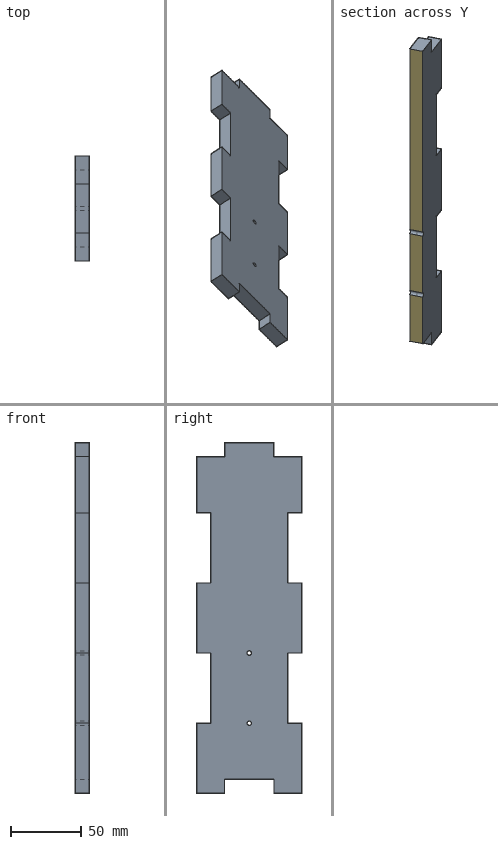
import cadquery as cq

thickness = 10.0
width = 75.0
height = 250.0
joint_depth = thickness
finger_pitch = 50.0
tab_width = 35.0
hole_diameter = 3.0
hole_heights = (finger_pitch, 2 * finger_pitch)
notch_bottoms = (finger_pitch, 3 * finger_pitch)

shoulder_height = height - joint_depth


def block(size_y, size_z, center_y, bottom_z):
    """Full-thickness block centred on X = 0 and standing on bottom_z."""
    return (
        cq.Workplane("XY")
        .box(thickness, size_y, size_z, centered=(True, True, False))
        .translate((0, center_y, bottom_z))
    )


def make_plate():
    """Upright plate with a tab on top and a matching slot at the bottom."""
    body = block(width, shoulder_height, 0, 0)
    tab = block(tab_width, joint_depth, 0, shoulder_height)
    slot = block(tab_width, joint_depth, 0, 0)
    return body.union(tab).cut(slot)


def cut_side_notches(plate):
    """Notches along both long edges, leaving three fingers on each."""
    notch_center = (width - joint_depth) / 2
    for bottom_z in notch_bottoms:
        for side in (-1, 1):
            plate = plate.cut(block(joint_depth, finger_pitch, side * notch_center, bottom_z))
    return plate


def drill_holes(plate):
    """Through holes on the centreline, level with the ends of the lower notches."""
    drills = (
        cq.Workplane("YZ")
        .pushPoints([(0, z) for z in hole_heights])
        .circle(hole_diameter / 2)
        .extrude(thickness / 2, both=True)
    )
    return plate.cut(drills)


result = drill_holes(cut_side_notches(make_plate()))